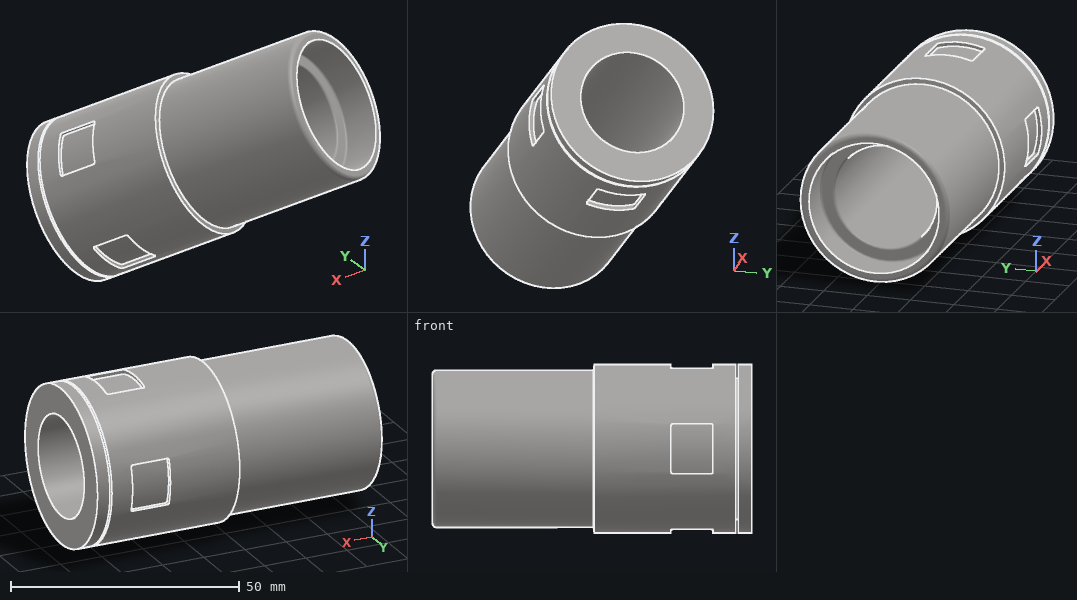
import cadquery as cq

total_length = 70.0
collar_start = 35.5
flange_thickness = 3.0
groove_width = 0.5
flange_start = total_length - flange_thickness
groove_start = flange_start - groove_width

spigot_diameter = 34.5
collar_diameter = 37.0
groove_diameter = 31.0

socket_diameter = 30.0
socket_depth = 8.0
bore_diameter = 23.5
socket_step_fillet = 0.5

spigot_end_fillet = 1.0
shoulder_length = 0.2

window_count = 4
window_start = 52.3
window_length = 9.2
window_width = 11.0
window_corner_radius = 0.5
window_floor_diameter = 35.0


def cylinder(diameter, start, length):
    """Solid cylinder about the X axis."""
    return cq.Workplane("YZ", origin=(start, 0, 0)).circle(diameter / 2).extrude(length)


def make_shoulder():
    """Cone widening from the spigot to the collar."""
    cone = cq.Solid.makeCone(
        spigot_diameter / 2,
        collar_diameter / 2,
        shoulder_length,
        pnt=cq.Vector(collar_start - shoulder_length, 0, 0),
        dir=cq.Vector(1, 0, 0),
    )
    return cq.Workplane(cone)


def make_outside():
    """Stepped outside: spigot, shoulder, larger collar, grooved neck and end flange."""
    neck = cylinder(groove_diameter, 0, total_length)
    spigot = cylinder(spigot_diameter, 0, groove_start)
    spigot = spigot.faces("<X").edges().fillet(spigot_end_fillet)
    collar = cylinder(collar_diameter, collar_start, groove_start - collar_start)
    shoulder = make_shoulder()
    flange = cylinder(collar_diameter, flange_start, flange_thickness)
    return spigot.union(shoulder).union(collar).union(neck).union(flange)


def make_bore():
    """Turned cutter for the socket and bore, with both edges of the step between them rounded."""
    socket_radius = socket_diameter / 2
    bore_radius = bore_diameter / 2
    fillet = socket_step_fillet
    return (
        cq.Workplane("XY")
        .lineTo(0, socket_radius)
        .lineTo(socket_depth - fillet, socket_radius)
        .radiusArc((socket_depth, socket_radius - fillet), fillet)
        .lineTo(socket_depth, bore_radius + fillet)
        .radiusArc((socket_depth + fillet, bore_radius), -fillet)
        .lineTo(total_length, bore_radius)
        .lineTo(total_length, 0)
        .close()
        .revolve(360, (0, 0, 0), (1, 0, 0))
    )


def make_window():
    """Rounded rectangular cutter above the cylindrical window floor, facing +Z."""
    block = (
        cq.Workplane("XY")
        .center(window_start + window_length / 2, 0)
        .rect(window_length, window_width)
        .extrude(collar_diameter)
        .edges("|Z")
        .fillet(window_corner_radius)
    )
    return block.cut(cylinder(window_floor_diameter, 0, total_length))


result = make_outside().cut(make_bore())
window = make_window()
for index in range(window_count):
    angle = index * 360 / window_count
    result = result.cut(window.rotate((0, 0, 0), (1, 0, 0), angle))